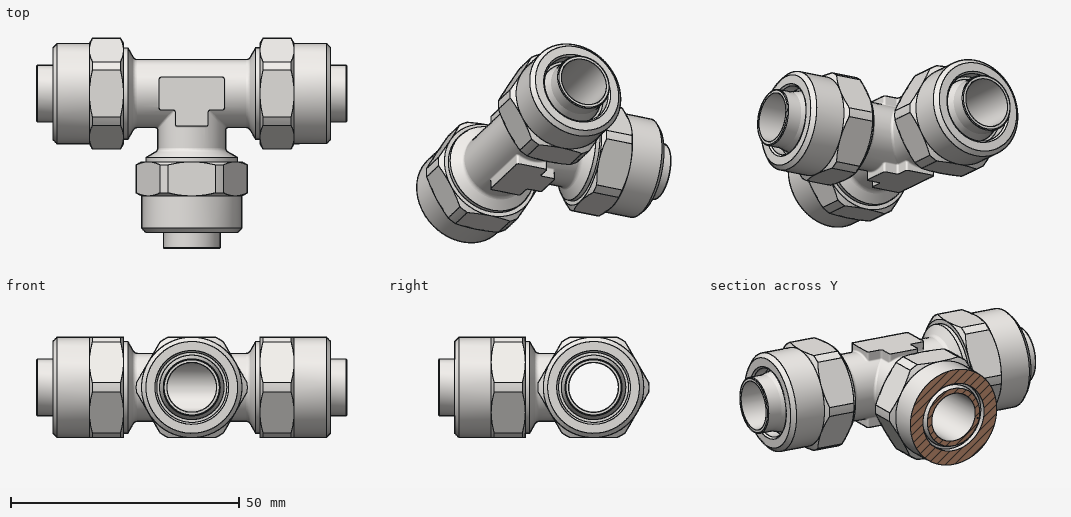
import cadquery as cq
import math

ARM_LENGTH = 34.0
BORE_RADIUS = 5.45
BODY_RADIUS = 7.5
CREASE_FILLET = 0.5

COLLAR_RADIUS = 10.05
COLLAR_START = 14.0
COLLAR_CONE_ANGLE = 60.0
COLLAR_ROOT_FILLET = 0.95

NUT_FLATS = 22.0
NUT_CORNER_RADIUS = 12.2
HEX_SIDES = 6
HEX_START = 14.95
HEX_END = 22.45
HEX_CHAMFER_ANGLE = 30.0
NUT_FACE = 30.45
SLEEVE_CHAMFER = 0.95

RECESS_RADIUS = 7.7
RECESS_MOUTH_CHAMFER = 0.4
RECESS_DEPTH = 3.05
STUB_RADIUS = 6.25
STUB_ROOT_RADIUS = 7.1
STUB_END_CHAMFER = 0.2

PAD_HEIGHT = 8.8
PAD_REACH = 7.15
PAD_HALF_WIDTH = 3.6
PAD_CORNER_RADIUS = 0.5
PAD_ROOT_FILLET = 0.4

EDGE_MARGIN = 0.1

nut_radius = NUT_FLATS / 2


def revolve_about_x(points):
    """Revolve a closed (axial, radial) outline around the X axis."""
    return cq.Workplane("XY").polyline(points).close().revolve(360, (0, 0, 0), (1, 0, 0))


def make_tee_body():
    """Three joined pipes with the creases between them rounded."""
    run = cq.Workplane("YZ").circle(BODY_RADIUS).extrude(COLLAR_START, both=True)
    branch = cq.Workplane("XZ").circle(BODY_RADIUS).extrude(COLLAR_START)
    creases = cq.selectors.BoxSelector(
        (-BODY_RADIUS - EDGE_MARGIN, -BODY_RADIUS - EDGE_MARGIN, -BODY_RADIUS - EDGE_MARGIN),
        (BODY_RADIUS + EDGE_MARGIN, EDGE_MARGIN, BODY_RADIUS + EDGE_MARGIN),
        boundingbox=True,
    )
    return run.union(branch).edges(creases).fillet(CREASE_FILLET)


def make_pads():
    """T-shaped block whose two ends form the pads above and below the tee axis."""
    outline = [
        (-PAD_REACH, PAD_HALF_WIDTH),
        (PAD_REACH, PAD_HALF_WIDTH),
        (PAD_REACH, -PAD_HALF_WIDTH),
        (PAD_HALF_WIDTH, -PAD_HALF_WIDTH),
        (PAD_HALF_WIDTH, -PAD_REACH),
        (-PAD_HALF_WIDTH, -PAD_REACH),
        (-PAD_HALF_WIDTH, -PAD_HALF_WIDTH),
        (-PAD_REACH, -PAD_HALF_WIDTH),
    ]
    block = cq.Workplane("XY").polyline(outline).close().extrude(PAD_HEIGHT, both=True)
    return block.edges("|Z").fillet(PAD_CORNER_RADIUS)


def round_pad_roots(tee):
    """Blend the pad walls into the pipes along the foot of each pad."""
    wall_feet = tee.edges(cq.selectors.BoxSelector(
        (-PAD_REACH - EDGE_MARGIN, -PAD_REACH - EDGE_MARGIN, -BODY_RADIUS - EDGE_MARGIN),
        (PAD_REACH + EDGE_MARGIN, PAD_HALF_WIDTH + EDGE_MARGIN, BODY_RADIUS + EDGE_MARGIN),
        boundingbox=True,
    ))
    return wall_feet.fillet(PAD_ROOT_FILLET)


def make_collar():
    """Collar with a conical back that blends into the body through a fillet."""
    cone_length = (COLLAR_RADIUS - BODY_RADIUS) / math.tan(math.radians(COLLAR_CONE_ANGLE))
    cone_start = COLLAR_START - cone_length
    pipe_start = cone_start - COLLAR_ROOT_FILLET
    collar = revolve_about_x([
        (pipe_start, 0),
        (pipe_start, BODY_RADIUS),
        (cone_start, BODY_RADIUS),
        (COLLAR_START, COLLAR_RADIUS),
        (HEX_START, COLLAR_RADIUS),
        (HEX_START, 0),
    ])
    cone_root = cq.selectors.BoxSelector(
        (cone_start - EDGE_MARGIN, -COLLAR_RADIUS, -COLLAR_RADIUS),
        (cone_start + EDGE_MARGIN, COLLAR_RADIUS, COLLAR_RADIUS),
        boundingbox=True,
    )
    return collar.edges(cone_root).fillet(COLLAR_ROOT_FILLET)


def make_hexagon():
    """Hexagon with turned corners and conical chamfers at both ends."""
    corner_height = NUT_CORNER_RADIUS - nut_radius
    chamfer_length = corner_height * math.tan(math.radians(HEX_CHAMFER_ANGLE))
    corner_diameter = NUT_FLATS / math.cos(math.pi / HEX_SIDES)
    prism = (
        cq.Workplane("YZ", origin=(HEX_START, 0, 0))
        .polygon(HEX_SIDES, corner_diameter)
        .extrude(HEX_END - HEX_START)
    )
    turned = revolve_about_x([
        (HEX_START, 0),
        (HEX_START, nut_radius),
        (HEX_START + chamfer_length, NUT_CORNER_RADIUS),
        (HEX_END - chamfer_length, NUT_CORNER_RADIUS),
        (HEX_END, nut_radius),
        (HEX_END, 0),
    ])
    return prism.intersect(turned)


def make_sleeve_and_stub():
    """Round nut sleeve, the recess in its face and the pipe stub in one turned profile."""
    recess_floor = NUT_FACE - RECESS_DEPTH
    return revolve_about_x([
        (HEX_END, 0),
        (HEX_END, nut_radius),
        (NUT_FACE - SLEEVE_CHAMFER, nut_radius),
        (NUT_FACE, nut_radius - SLEEVE_CHAMFER),
        (NUT_FACE, RECESS_RADIUS + RECESS_MOUTH_CHAMFER),
        (NUT_FACE - RECESS_MOUTH_CHAMFER, RECESS_RADIUS),
        (recess_floor, RECESS_RADIUS),
        (recess_floor, STUB_ROOT_RADIUS),
        (NUT_FACE, STUB_RADIUS),
        (ARM_LENGTH - STUB_END_CHAMFER, STUB_RADIUS),
        (ARM_LENGTH, STUB_RADIUS - STUB_END_CHAMFER),
        (ARM_LENGTH, 0),
    ])


tee = make_tee_body().union(make_pads())
result = round_pad_roots(tee)
arm = make_collar().union(make_hexagon()).union(make_sleeve_and_stub())
bore = cq.Workplane("YZ").circle(BORE_RADIUS).extrude(ARM_LENGTH)

arm_directions = (0, 180, -90)
for direction in arm_directions:
    result = result.union(arm.rotate((0, 0, 0), (0, 0, 1), direction))
for direction in arm_directions:
    result = result.cut(bore.rotate((0, 0, 0), (0, 0, 1), direction))